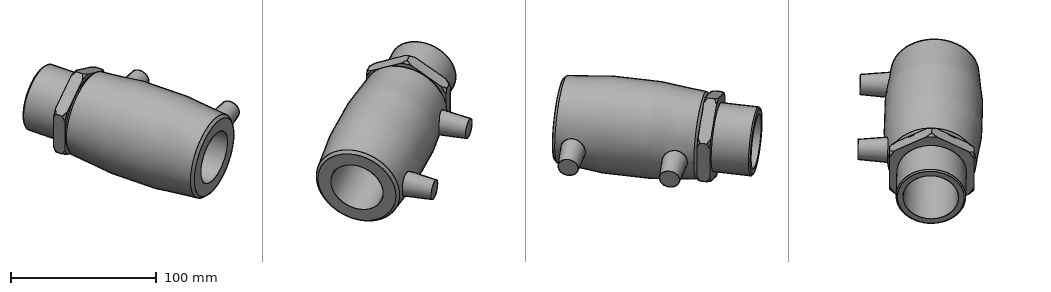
import cadquery as cq
import math

spigot_length = 27.0
nut_width = 9.0
barrel_length = 101.0
barrel_band_length = barrel_length / 3
barrel_start = spigot_length + nut_width
overall_length = barrel_start + barrel_length
barrel_middle = barrel_start + barrel_length / 2

spigot_diameter = 47.8
spigot_chamfer = 1.0

nut_sides = 6
nut_corner_diameter = 67.0
nut_chamfer = 2.0

barrel_diameter = 67.0
barrel_end_diameter = 60.7
barrel_chamfer = 2.0

bore_diameter = 38.0

terminal_spacing = 0.7 * barrel_length
terminal_height = 51.0
terminal_tip_diameter = 14.0
terminal_draft_angle = 5.0
terminal_root_height = 26.0


def x_cylinder(diameter, start, length):
    """Solid cylinder along X, beginning at the given X position."""
    return cq.Workplane("YZ", origin=(start, 0, 0)).circle(diameter / 2).extrude(length)


def make_spigot():
    spigot = x_cylinder(spigot_diameter, 0, barrel_start)
    return spigot.faces("<X").chamfer(spigot_chamfer)


def make_nut():
    """Hexagon with corners on the Z axis, its corners bevelled flat on both faces."""
    nut = (
        cq.Workplane("YZ", origin=(spigot_length, 0, 0))
        .transformed(rotate=(0, 0, 90))
        .polygon(nut_sides, nut_corner_diameter)
        .extrude(nut_width)
    )
    corner_radius = nut_corner_diameter / 2
    for face_x, inward in ((spigot_length, 1), (barrel_start, -1)):
        bevel = (
            cq.Workplane("XZ")
            .moveTo(face_x, corner_radius - nut_chamfer)
            .lineTo(face_x + inward * nut_chamfer, corner_radius)
            .lineTo(face_x, corner_radius)
            .close()
            .extrude(corner_radius / 2, both=True)
        )
        for corner in range(nut_sides):
            nut = nut.cut(bevel.rotate((0, 0, 0), (1, 0, 0), corner * 360 / nut_sides))
    return nut


def make_barrel():
    """Revolved barrel with a cylindrical band, two tapers and chamfered ends."""
    band_radius = barrel_diameter / 2
    end_radius = barrel_end_diameter / 2
    face_radius = end_radius - barrel_chamfer
    band_start = barrel_middle - barrel_band_length / 2
    band_end = barrel_middle + barrel_band_length / 2
    return (
        cq.Workplane("XY")
        .moveTo(barrel_start, 0)
        .lineTo(barrel_start, face_radius)
        .lineTo(barrel_start + barrel_chamfer, end_radius)
        .lineTo(band_start, band_radius)
        .lineTo(band_end, band_radius)
        .lineTo(overall_length - barrel_chamfer, end_radius)
        .lineTo(overall_length, face_radius)
        .lineTo(overall_length, 0)
        .close()
        .revolve(360, (0, 0, 0), (1, 0, 0))
    )


def make_terminal(x_position):
    """Cone frustum along +Y, narrowing to its tip and rooted inside the barrel wall."""
    length = terminal_height - terminal_root_height
    tip_radius = terminal_tip_diameter / 2
    root_radius = tip_radius + length * math.tan(math.radians(terminal_draft_angle))
    cone = cq.Solid.makeCone(
        root_radius,
        tip_radius,
        length,
        pnt=cq.Vector(x_position, terminal_root_height, 0),
        dir=cq.Vector(0, 1, 0),
    )
    return cq.Workplane("XY").newObject([cone])


body = make_spigot().union(make_nut()).union(make_barrel())
for side in (-1, 1):
    body = body.union(make_terminal(barrel_middle + side * terminal_spacing / 2))

result = body.cut(x_cylinder(bore_diameter, 0, overall_length))